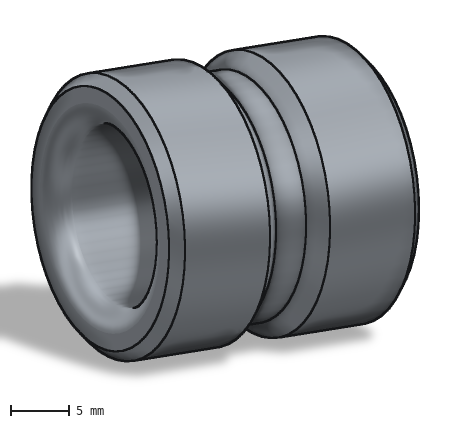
import cadquery as cq

length = 25.0
outer_radius = 12.5
bore_radius = 8.0
end_chamfer = 1.0
mouth_radius = 2.0

groove_depth = 1.5
groove_floor_width = 3.0


def make_sleeve():
    """Plain tube from the front end (y = 0) to the back end, chamfered outside."""
    body = cq.Workplane("XZ").circle(outer_radius).extrude(-length)
    body = body.faces("<Y or >Y").edges().chamfer(end_chamfer)
    bore = cq.Workplane("XZ").circle(bore_radius).extrude(-length)
    return body.cut(bore)


def make_groove():
    """Ring with a trapezoid section, removed from the outside."""
    middle = length / 2
    half_floor = groove_floor_width / 2
    half_mouth = half_floor + groove_depth
    floor_radius = outer_radius - groove_depth
    return (
        cq.Workplane("XY")
        .moveTo(outer_radius, middle - half_mouth)
        .lineTo(floor_radius, middle - half_floor)
        .lineTo(floor_radius, middle + half_floor)
        .lineTo(outer_radius, middle + half_mouth)
        .close()
        .revolve(360, (0, 0, 0), (0, 1, 0))
    )


sleeve = make_sleeve().cut(make_groove())

result = sleeve.faces("<Y").edges(cq.selectors.RadiusNthSelector(0)).fillet(mouth_radius)